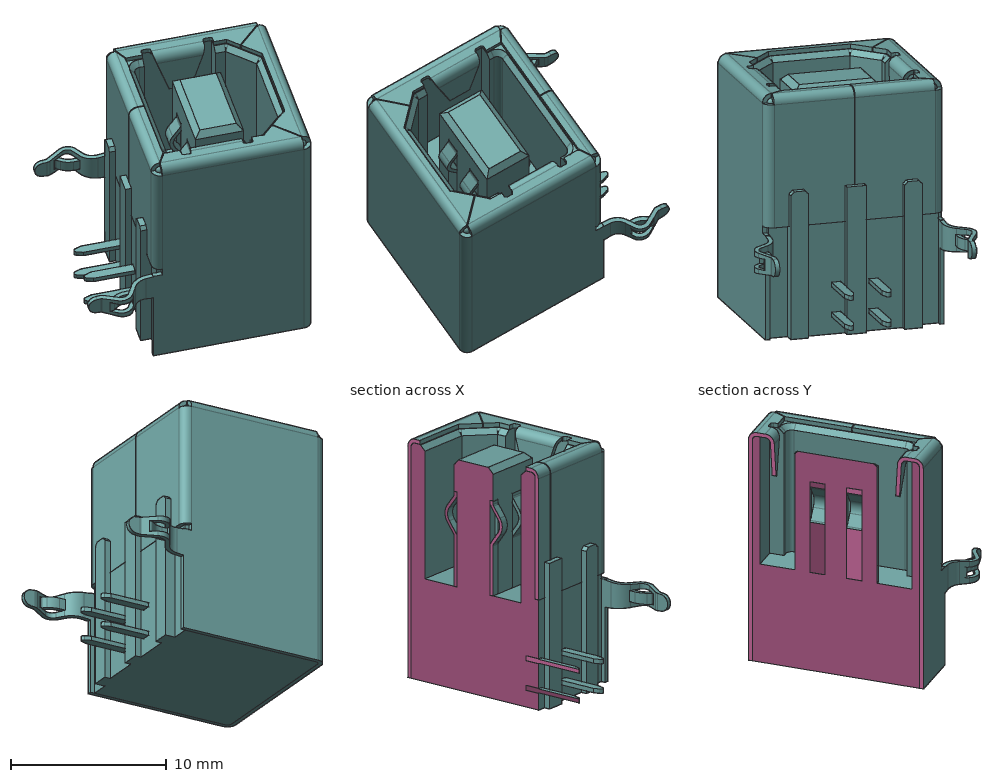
import cadquery as cq
import math


SHELL_WIDTH = 12.04
SHELL_DEPTH = 10.62
SHELL_HEIGHT = 16.3
SHEET = 0.3
BEND_INNER = 0.3
BEND_OUTER = BEND_INNER + SHEET
HALF_WIDTH = SHELL_WIDTH / 2
FLAT_HALF_WIDTH = HALF_WIDTH - BEND_OUTER
CORE_WIDTH = SHELL_WIDTH - 2 * SHEET
CORE_DEPTH = SHELL_DEPTH - 2 * SHEET
CORE_HEIGHT = SHELL_HEIGHT - SHEET
SHELL_FRONT_BOTTOM = 7.46
BEND_RELIEF_BOTTOM = 6.99
SEAM_GAP = 0.06

CAVITY_HALF_WIDTH = 4.22
CAVITY_FRONT = 1.44
CAVITY_BACK = 9.2
CAVITY_CORNER_CUT = 1.63
CAVITY_CORNER_RADIUS = 0.41
CAVITY_FLOOR = 7.0
LEAD_IN = 0.35
SHELL_MOUTH_MARGIN = 0.41

SPRING_SLOT_FRONT = 2.17
SPRING_SLOT_BACK = 6.9
SPRING_SLOT_WIDTH = 0.62
SPRING_SLOT_X = 5.09
SPRING_SLOT_RADIUS = 0.15
SPRING_BEND_X = 4.87
SPRING_BEND_OUTER = 0.63
SPRING_LEAF_X = SPRING_BEND_X - SPRING_BEND_OUTER
SPRING_TIP_X = 4.09
SPRING_TIP_Z = 13.4
SPRING_TIP_HALF_WIDTH = 0.75
SPRING_RECESS_X = 5.2
SPRING_CENTRE_Y = (SPRING_SLOT_FRONT + SPRING_SLOT_BACK) / 2
SPRING_HALF_WIDTH = (SPRING_SLOT_BACK - SPRING_SLOT_FRONT) / 2 - SPRING_SLOT_WIDTH

LOCK_ROOT_Y = 0.36
LOCK_ROOT_BOTTOM = 5.06
LOCK_ROOT_TOP = BEND_RELIEF_BOTTOM
LOCK_TIP_Y = -4.5
LOCK_TIP_RADIUS = 0.57
LOCK_CENTRE_Z = (LOCK_ROOT_BOTTOM + LOCK_ROOT_TOP) / 2
LOCK_ROOT_X = HALF_WIDTH - SHEET / 2
LOCK_SHOULDER_Y = -1.13
LOCK_KNEE = (7.535, -2.07)
LOCK_ANKLE = (6.62, -3.61)
LOCK_SHOULDER_RADIUS = 1.1
LOCK_KNEE_RADIUS = 0.62
LOCK_ANKLE_RADIUS = 0.3
TONGUE_WIDTH = 0.75
TONGUE_NECK = (6.45, -1.46)
TONGUE_BELLY = (6.45, -2.35)
TONGUE_FOOT = (6.95, -3.04)
TONGUE_END = (6.85, -3.21)
TONGUE_BELLY_RADIUS = 1.2
TONGUE_FOOT_RADIUS = 0.2
WINDOW_TOP_Y = -1.55
WINDOW_BOTTOM_Y = -3.15

RIB_STANDOFF = 0.41
RIB_TOP = 9.88
CENTRE_RIB_WIDTH = 1.3
OUTER_RIB_WIDTH = 1.2
OUTER_RIB_X = 3.83
OUTER_RIB_CHAMFER = 0.23

BLOCK_WIDTH = 5.68
BLOCK_FRONT = 3.66
BLOCK_BACK = 6.87
BLOCK_TOP = 15.64
BLOCK_CHAMFER = 0.4

CONTACT_X = 1.26
CONTACT_WIDTH = 1.02
CONTACT_SHEET = 0.25
CONTACT_TOP = 13.4
CONTACT_BULGE_TOP = 13.1
CONTACT_BULGE_BOTTOM = 10.5
CONTACT_CREST = 0.95
CONTACT_ROOT_RADIUS = 0.3
CONTACT_CREST_RADIUS = 0.88

PIN_WIDTH = 0.62
PIN_THICKNESS = 0.3
PIN_ROWS_Z = (1.32, 3.33)
PIN_TAPER_Y = -2.76
PIN_NOSE_Y = -3.18
PIN_TIP_Y = -3.3
PIN_NOSE_WIDTH = 0.32
PIN_SEAT_DEPTH = 1.0


def block(x_min, x_max, y_min, y_max, z_min, z_max):
    """Axis-aligned box given by its limits."""
    size = (x_max - x_min, y_max - y_min, z_max - z_min)
    return cq.Workplane("XY").box(*size, centered=False).translate((x_min, y_min, z_min))


def mirrored_pair(body):
    """The body together with its mirror image across X = 0."""
    return body.union(body.mirror("YZ"))


def bent_strip(plane_name, corners, radii, thickness, width):
    """Sheet strip following a line with rounded corners; its width is normal to the plane."""
    plane = cq.Plane.named(plane_name)
    points = [cq.Vector(*corner) for corner in corners]
    path = cq.Workplane(plane).moveTo(*corners[0])
    for before, corner, after, radius in zip(points, points[1:], points[2:], radii):
        arrival = (corner - before).normalized()
        departure = (after - corner).normalized()
        setback = radius * math.tan(arrival.getAngle(departure) / 2)
        arc_start = corner - arrival * setback
        arc_end = corner + departure * setback
        path = path.lineTo(arc_start.x, arc_start.y)
        path = path.tangentArcPoint((arc_end.x, arc_end.y), relative=False)
    path = path.lineTo(*corners[-1])

    start = plane.toWorldCoords(points[0])
    heading = plane.toWorldCoords(points[1]) - start
    section = cq.Workplane(cq.Plane(start, xDir=plane.zDir, normal=heading))
    return section.rect(width, thickness).sweep(path)


def cavity_outline(margin, corner_radius):
    """Plug outline widened by a margin: two cut corners at the back, two front corners."""
    x = CAVITY_HALF_WIDTH + margin
    front = CAVITY_FRONT - margin
    back = CAVITY_BACK + margin
    cut = CAVITY_CORNER_CUT + margin * (2 - math.sqrt(2))
    outline = cq.Workplane("XY").moveTo(-x + corner_radius, front).lineTo(x - corner_radius, front)
    if corner_radius > 0:
        outline = outline.radiusArc((x, front + corner_radius), -corner_radius)
    outline = outline.lineTo(x, back - cut).lineTo(x - cut, back)
    outline = outline.lineTo(-x + cut, back).lineTo(-x, back - cut)
    if corner_radius > 0:
        outline = outline.lineTo(-x, front + corner_radius)
        outline = outline.radiusArc((-x + corner_radius, front), -corner_radius)
    return outline.close()


def rounded_block(width, depth, height, radius):
    """Block with rounded upright and top edges, centred on X = 0, standing on Z = 0."""
    body = cq.Workplane("XY").box(width, depth, height, centered=(True, True, False))
    body = body.edges("|Z or >Z").fillet(radius)
    return body.translate((0, SHELL_DEPTH / 2, 0))


def front_clearance():
    """Space left open below the folded front wall and its bends."""
    return block(-HALF_WIDTH, HALF_WIDTH, 0, BEND_OUTER, 0, SHELL_FRONT_BOTTOM)


def lower_side_edge():
    """Flat front edge of the side plate below the relief notch."""
    return block(HALF_WIDTH - SHEET, HALF_WIDTH, 0, BEND_OUTER, 0, BEND_RELIEF_BOTTOM)


def corner_openings():
    """Open corners of the top where neighbouring bends do not meet."""
    z_min = SHELL_HEIGHT - BEND_OUTER
    front = block(FLAT_HALF_WIDTH, HALF_WIDTH, 0, BEND_OUTER, z_min, SHELL_HEIGHT)
    back = front.translate((0, SHELL_DEPTH - BEND_OUTER, 0))
    return mirrored_pair(front.union(back))


def mitre_seam(start, end):
    """Thin slit through the top sheet between two points."""
    run_x = end[0] - start[0]
    run_y = end[1] - start[1]
    slit = cq.Workplane("XY").box(math.hypot(run_x, run_y), SEAM_GAP, SHEET)
    slit = slit.rotate((0, 0, 0), (0, 0, 1), math.degrees(math.atan2(run_y, run_x)))
    middle = ((start[0] + end[0]) / 2, (start[1] + end[1]) / 2, SHELL_HEIGHT - SHEET / 2)
    return slit.translate(middle)


def seams():
    """Corner mitres of the top and the centre seam of the front wall."""
    mouth_x = CAVITY_HALF_WIDTH + SHELL_MOUTH_MARGIN
    mouth_front = CAVITY_FRONT - SHELL_MOUTH_MARGIN
    front_mitre = mitre_seam((FLAT_HALF_WIDTH, BEND_OUTER), (mouth_x, mouth_front))
    back_corner = SHELL_DEPTH - BEND_OUTER
    back_run = FLAT_HALF_WIDTH - mouth_x + CAVITY_CORNER_CUT / 2
    back_end = (FLAT_HALF_WIDTH - back_run, back_corner - back_run)
    back_mitre = mitre_seam((FLAT_HALF_WIDTH, back_corner), back_end)
    centre = block(-SEAM_GAP / 2, SEAM_GAP / 2, 0, mouth_front, SHELL_FRONT_BOTTOM, SHELL_HEIGHT)
    return mirrored_pair(front_mitre.union(back_mitre)).union(centre)


def spring_opening():
    """Opening beside the mouth: two relief slots with the spring's bend line between them."""
    z_min = SHELL_HEIGHT - SHEET
    slots = None
    for y in (SPRING_SLOT_FRONT, SPRING_SLOT_BACK - SPRING_SLOT_WIDTH):
        slot = block(CAVITY_HALF_WIDTH, SPRING_SLOT_X, y, y + SPRING_SLOT_WIDTH, z_min, SHELL_HEIGHT)
        slot = slot.edges("|Z and >X").fillet(SPRING_SLOT_RADIUS)
        slots = slot if slots is None else slots.union(slot)
    between = block(
        CAVITY_HALF_WIDTH, SPRING_BEND_X, SPRING_SLOT_FRONT, SPRING_SLOT_BACK, z_min, SHELL_HEIGHT
    )
    return slots.union(between)


def spring():
    """Leaf bent down from the top into the cavity, narrowing towards its tip."""
    middle = SHELL_HEIGHT - SHEET / 2
    leaf_x = SPRING_LEAF_X + SHEET / 2
    tip_x = SPRING_TIP_X + SHEET / 2
    corners = [(SPRING_SLOT_X, middle), (leaf_x, middle), (tip_x, SPRING_TIP_Z)]
    leaf = bent_strip("XZ", corners, [SPRING_BEND_OUTER - SHEET / 2], SHEET, 2 * SPRING_HALF_WIDTH)
    leaf = leaf.translate((0, SPRING_CENTRE_Y, 0))
    side_outline = (
        cq.Workplane("YZ")
        .moveTo(SPRING_CENTRE_Y - SPRING_HALF_WIDTH, SHELL_HEIGHT)
        .lineTo(SPRING_CENTRE_Y + SPRING_HALF_WIDTH, SHELL_HEIGHT)
        .lineTo(SPRING_CENTRE_Y + SPRING_TIP_HALF_WIDTH, SPRING_TIP_Z)
        .lineTo(SPRING_CENTRE_Y - SPRING_TIP_HALF_WIDTH, SPRING_TIP_Z)
        .close()
        .extrude(HALF_WIDTH)
    )
    return leaf.intersect(side_outline)


def lock_side_outline():
    """Tapering side outline of a board lock with a round tip, as a solid through X."""
    tip_centre_y = LOCK_TIP_Y + LOCK_TIP_RADIUS
    return (
        cq.Workplane("YZ")
        .moveTo(LOCK_ROOT_Y, LOCK_ROOT_BOTTOM)
        .lineTo(LOCK_ROOT_Y, LOCK_ROOT_TOP)
        .lineTo(tip_centre_y, LOCK_CENTRE_Z + LOCK_TIP_RADIUS)
        .threePointArc((LOCK_TIP_Y, LOCK_CENTRE_Z), (tip_centre_y, LOCK_CENTRE_Z - LOCK_TIP_RADIUS))
        .close()
        .extrude(SHELL_WIDTH)
    )


def board_lock():
    """Kinked tail with a window, from which a tongue is bowed back towards the socket."""
    tail_corners = [
        (LOCK_ROOT_X, LOCK_ROOT_Y),
        (LOCK_ROOT_X, LOCK_SHOULDER_Y),
        LOCK_KNEE,
        LOCK_ANKLE,
        (LOCK_ANKLE[0], LOCK_TIP_Y),
    ]
    tail_radii = [LOCK_SHOULDER_RADIUS, LOCK_KNEE_RADIUS, LOCK_ANKLE_RADIUS]
    tail = bent_strip("XY", tail_corners, tail_radii, SHEET, LOCK_ROOT_TOP - LOCK_ROOT_BOTTOM)
    tail = tail.translate((0, 0, LOCK_CENTRE_Z)).intersect(lock_side_outline())

    window = block(
        0, SHELL_WIDTH, WINDOW_BOTTOM_Y, WINDOW_TOP_Y,
        LOCK_CENTRE_Z - TONGUE_WIDTH / 2, LOCK_CENTRE_Z + TONGUE_WIDTH / 2,
    )
    tongue_corners = [TONGUE_NECK, TONGUE_BELLY, TONGUE_FOOT, TONGUE_END]
    tongue_radii = [TONGUE_BELLY_RADIUS, TONGUE_FOOT_RADIUS]
    tongue = bent_strip("XY", tongue_corners, tongue_radii, SHEET, TONGUE_WIDTH)
    return tail.cut(window).union(tongue.translate((0, 0, LOCK_CENTRE_Z)))


def make_shell():
    """Folded sheet shell with its mouth, seams, springs and board locks."""
    outside = rounded_block(SHELL_WIDTH, SHELL_DEPTH, SHELL_HEIGHT, BEND_OUTER)
    inside = rounded_block(CORE_WIDTH, CORE_DEPTH, CORE_HEIGHT, BEND_INNER)
    mouth = cavity_outline(SHELL_MOUTH_MARGIN, 0).extrude(SHELL_HEIGHT)
    shell = outside.cut(inside).cut(mouth)
    shell = shell.cut(front_clearance()).cut(corner_openings()).cut(seams())
    shell = shell.cut(mirrored_pair(spring_opening()))
    for addition in (lower_side_edge(), spring(), board_lock()):
        shell = shell.union(mirrored_pair(addition))
    return shell


def rib(x, width, chamfer):
    """Standoff rib: rooted in the housing, its upper end lying on the shell's front wall."""
    body = block(x - width / 2, x + width / 2, -RIB_STANDOFF, 0, 0, RIB_TOP)
    if chamfer > 0:
        body = body.edges("|Y and >Z").chamfer(chamfer)
    root = block(x - width / 2, x + width / 2, 0, SHEET, 0, SHELL_FRONT_BOTTOM)
    return body.union(root)


def exposed_front():
    """Front below the shell's folded wall: square corners and a pad raised between the outer ribs."""
    square = block(-CORE_WIDTH / 2, CORE_WIDTH / 2, SHEET, BEND_OUTER, 0, SHELL_FRONT_BOTTOM)
    pad = block(-OUTER_RIB_X, OUTER_RIB_X, 0, SHEET, 0, SHELL_FRONT_BOTTOM)
    return square.union(pad)


def plug_cavity():
    """Plug opening with a bevelled lead-in around its rim."""
    cavity = cavity_outline(0, CAVITY_CORNER_RADIUS).extrude(CORE_HEIGHT - CAVITY_FLOOR)
    cavity = cavity.translate((0, 0, CAVITY_FLOOR))
    lead_in = cavity_outline(0, CAVITY_CORNER_RADIUS).extrude(LEAD_IN, taper=-45)
    return cavity.union(lead_in.translate((0, 0, CORE_HEIGHT - LEAD_IN)))


def spring_recess():
    """Pocket in the side wall that gives the spring room to move."""
    return block(
        0, SPRING_RECESS_X, SPRING_SLOT_FRONT, SPRING_SLOT_BACK, CAVITY_FLOOR, CORE_HEIGHT
    )


def contact_block():
    """Bevelled block with a groove for each contact."""
    body = block(-BLOCK_WIDTH / 2, BLOCK_WIDTH / 2, BLOCK_FRONT, BLOCK_BACK, CAVITY_FLOOR, BLOCK_TOP)
    body = body.faces(">Z").chamfer(BLOCK_CHAMFER)
    for x in (-CONTACT_X, CONTACT_X):
        x_min = x - CONTACT_WIDTH / 2
        x_max = x + CONTACT_WIDTH / 2
        for y in (BLOCK_FRONT, BLOCK_BACK - CONTACT_SHEET):
            groove = block(x_min, x_max, y, y + CONTACT_SHEET, CAVITY_FLOOR, CONTACT_TOP)
            body = body.cut(groove)
    return body


def make_housing(pins):
    """Moulded housing that fills the shell, with a seat for every pin."""
    housing = rounded_block(CORE_WIDTH, CORE_DEPTH, CORE_HEIGHT, BEND_INNER)
    housing = housing.cut(plug_cavity()).cut(mirrored_pair(spring_recess()))
    housing = housing.union(contact_block()).union(exposed_front())
    housing = housing.union(rib(0, CENTRE_RIB_WIDTH, 0))
    housing = housing.union(mirrored_pair(rib(OUTER_RIB_X, OUTER_RIB_WIDTH, OUTER_RIB_CHAMFER)))
    for pin in pins:
        housing = housing.cut(pin)
    return housing


def make_contact(x, face_y, outward):
    """Leaf in a groove of the contact block, bulging outward (+1 or -1 along Y)."""
    seat_y = face_y - outward * CONTACT_SHEET / 2
    crest_y = seat_y + outward * CONTACT_CREST
    crest_z = (CONTACT_BULGE_TOP + CONTACT_BULGE_BOTTOM) / 2
    corners = [
        (seat_y, CAVITY_FLOOR),
        (seat_y, CONTACT_BULGE_BOTTOM),
        (crest_y, crest_z),
        (seat_y, CONTACT_BULGE_TOP),
        (seat_y, CONTACT_TOP),
    ]
    radii = [CONTACT_ROOT_RADIUS, CONTACT_CREST_RADIUS, CONTACT_ROOT_RADIUS]
    return bent_strip("YZ", corners, radii, CONTACT_SHEET, CONTACT_WIDTH).translate((x, 0, 0))


def make_pin(x, z):
    """Flat solder pin with a tapered, rounded tip, seated in the housing's front."""
    half = PIN_WIDTH / 2
    nose = PIN_NOSE_WIDTH / 2
    outline = (
        cq.Workplane("XY")
        .moveTo(-half, PIN_SEAT_DEPTH)
        .lineTo(-half, PIN_TAPER_Y)
        .lineTo(-nose, PIN_NOSE_Y)
        .threePointArc((0, PIN_TIP_Y), (nose, PIN_NOSE_Y))
        .lineTo(half, PIN_TAPER_Y)
        .lineTo(half, PIN_SEAT_DEPTH)
        .close()
    )
    return outline.extrude(PIN_THICKNESS / 2, both=True).translate((x, 0, z))


pins = []
contacts = []
for side_x in (-CONTACT_X, CONTACT_X):
    for row_z in PIN_ROWS_Z:
        pins.append(make_pin(side_x, row_z))
    contacts.append(make_contact(side_x, BLOCK_FRONT, -1))
    contacts.append(make_contact(side_x, BLOCK_BACK, 1))

shell = make_shell()
housing = make_housing(pins)

result = cq.Compound.makeCompound(
    [
        shell.val(),
        housing.val(),
        *[pin.val() for pin in pins],
        *[contact.val() for contact in contacts],
    ]
)